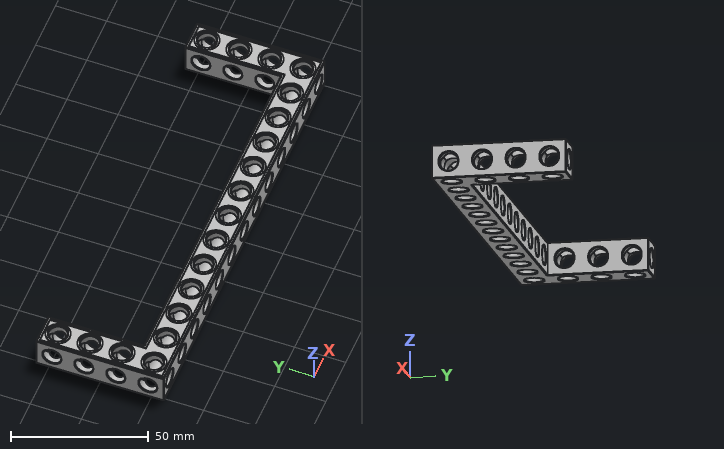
import cadquery as cq

length = 162.5
cells_across = 13
cells_deep = 4
pitch = length / cells_across
depth = cells_deep * pitch
height = pitch
mid_height = height / 2

hole_diameter = 7.0
rim_diameter = 9.3
chamfer_size = 0.31

rim_width = (rim_diameter - hole_diameter) / 2
recess_depth = 0.2
recess_floor = height - recess_depth

columns = [(i + 0.5) * pitch for i in range(cells_across)]
rows = [(j + 0.5) * pitch for j in range(cells_deep)]
base_row = rows[0]
arm_rows = rows[1:]
end_columns = [columns[0], columns[-1]]
inner_columns = columns[1:-1]
vertical_holes = [(x, base_row) for x in columns] + [(x, y) for x in end_columns for y in arm_rows]


def u_prism(inset, bottom, thickness):
    """Upright U prism with every side moved inward by the inset."""
    near = inset
    far_x = length - inset
    far_y = depth - inset
    arm_inner = pitch - inset
    outline = [
        (near, near),
        (far_x, near),
        (far_x, far_y),
        (length - arm_inner, far_y),
        (length - arm_inner, arm_inner),
        (arm_inner, arm_inner),
        (arm_inner, far_y),
        (near, far_y),
    ]
    return cq.Workplane("XY", origin=(0, 0, bottom)).polyline(outline).close().extrude(thickness)


def chamfered_beam():
    """U beam with all edges broken except the two concave vertical corners."""
    horizontal_edges = "|X or |Y"
    convex_vertical_edges = "(|Z and (<X or >X)) or (|Z and >Y)"
    beam = u_prism(0, 0, height)
    return beam.edges(f"{horizontal_edges} or {convex_vertical_edges}").chamfer(chamfer_size)


def top_recess():
    """Shallow pocket inside the outline rim that leaves a round rim at each hole."""
    rims = (
        cq.Workplane("XY", origin=(0, 0, recess_floor))
        .pushPoints(vertical_holes)
        .circle(rim_diameter / 2)
        .extrude(recess_depth)
    )
    return u_prism(rim_width, recess_floor, recess_depth).cut(rims)


def hole_cutter(start, direction, span):
    """Through hole that flares by the chamfer at both mouths."""
    bore_radius = hole_diameter / 2
    mouth_radius = bore_radius + chamfer_size
    axis = cq.Vector(*direction)
    entry = cq.Vector(*start)
    leave = entry + axis * span
    bore = cq.Solid.makeCylinder(bore_radius, span, entry, axis)
    entry_flare = cq.Solid.makeCone(mouth_radius, bore_radius, chamfer_size, entry, axis)
    leave_flare = cq.Solid.makeCone(mouth_radius, bore_radius, chamfer_size, leave, -axis)
    return bore.fuse(entry_flare, leave_flare)


result = chamfered_beam().cut(top_recess())

for x, y in vertical_holes:
    result = result.cut(hole_cutter((x, y, 0), (0, 0, 1), height))

result = result.cut(hole_cutter((0, base_row, mid_height), (1, 0, 0), length))
for y in arm_rows:
    for arm_start in (0, length - pitch):
        result = result.cut(hole_cutter((arm_start, y, mid_height), (1, 0, 0), pitch))

for x in end_columns:
    result = result.cut(hole_cutter((x, 0, mid_height), (0, 1, 0), depth))
for x in inner_columns:
    result = result.cut(hole_cutter((x, 0, mid_height), (0, 1, 0), pitch))